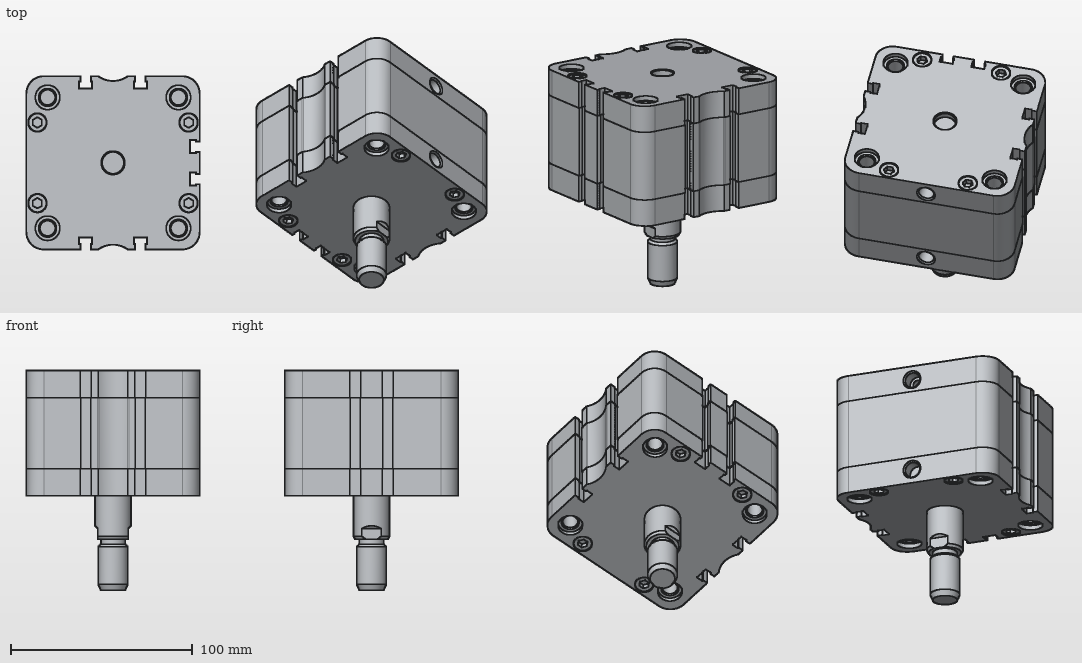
import cadquery as cq
import math


side = 95.5
half_side = side / 2
corner_radius = 9.7
cover_height = 15.0
barrel_height = 39.0
housing_height = 2 * cover_height + barrel_height

slot_mouth_width = 5.5
slot_inner_width = 6.9
slot_lip_depth_y_sides = 3.2
slot_depth_y_sides = 6.6
slot_lip_depth_x_side = 2.1
slot_depth_x_side = 5.3
slot_offset_y_sides = 15.1
slot_offset_x_side = 8.9
cover_slot_clearance = 0.25

groove_half_width = 8.2
groove_depth = 2.65
groove_edge_radius = 1.4

mount_offset = 36.0
mount_bore_diameter = 8.38
mount_chamfer_diameter = 9.8
mount_counterbore_diameter = 13.5
mount_counterbore_depth = 2.6

screw_x = 41.6
screw_y = 22.2
screw_recess_diameter = 10.3
screw_head_diameter = 9.8
screw_head_drop = 0.5
hex_across_flats = 5.0
hex_depth = 3.5

centre_bore_diameter = 12.0
centre_chamfer = 0.5
centre_bore_depth = 3.5

port_distance_from_end = 8.0
port_diameter = 8.57
port_chamfer_diameter = 10.3
port_depth = 8.0
port_passage_diameter = 5.0
port_passage_depth = 12.0

rod_diameter = 20.0
rod_shoulder_length = 24.0
rod_chamfer_width = 1.0
rod_chamfer_length = 1.7
flat_width = 17.0
flat_length = 6.0
thread_diameter = 16.4
relief_diameter = 13.5
relief_length = 2.6
rod_length = 52.0
tip_diameter = 13.6
tip_taper_length = 3.3


def t_slot_cutter(lip_depth, slot_depth, clearance):
    """T-slot open at X = 0 and running into -X, as tall as the housing."""
    mouth = slot_mouth_width + 2 * clearance
    inner = slot_inner_width + 2 * clearance
    lip = lip_depth - clearance
    depth = slot_depth + clearance
    neck = cq.Workplane("XY").box(2 * depth, mouth, housing_height, centered=(True, True, False))
    chamber = (
        cq.Workplane("XY")
        .box(depth - lip, inner, housing_height, centered=(False, True, False))
        .translate((-depth, 0, 0))
    )
    return neck.union(chamber)


def side_groove_cutter():
    """Upright cylinder whose edge dips into the +Y side by the groove depth."""
    radius = (groove_half_width**2 + groove_depth**2) / (2 * groove_depth)
    centre_y = half_side - groove_depth + radius
    return cq.Workplane("XY").center(0, centre_y).circle(radius).extrude(housing_height)


def housing_profile(height, slot_clearance):
    """Square prism with rounded corners, T-slots on three sides and the two side grooves."""
    body = cq.Workplane("XY").rect(side, side).extrude(height).edges("|Z").fillet(corner_radius)
    x_slot = t_slot_cutter(slot_lip_depth_x_side, slot_depth_x_side, slot_clearance)
    y_slot = t_slot_cutter(slot_lip_depth_y_sides, slot_depth_y_sides, slot_clearance)
    for sign in (1, -1):
        body = body.cut(x_slot.translate((half_side, sign * slot_offset_x_side, 0)))
        for face_angle in (90, -90):
            placed = y_slot.translate((half_side, sign * slot_offset_y_sides, 0))
            body = body.cut(placed.rotate((0, 0, 0), (0, 0, 1), face_angle))
    groove = side_groove_cutter()
    return body.cut(groove).cut(groove.mirror("XZ"))


def cone(bottom_diameter, top_diameter, height):
    """Truncated cone standing on Z = 0."""
    return (
        cq.Workplane("XY")
        .circle(bottom_diameter / 2)
        .workplane(offset=height)
        .circle(top_diameter / 2)
        .loft()
    )


def mount_hole_cutter():
    """Counterbored, chamfered hole through the cover."""
    floor_z = cover_height - mount_counterbore_depth
    chamfer = (mount_chamfer_diameter - mount_bore_diameter) / 2
    bore = cq.Workplane("XY").circle(mount_bore_diameter / 2).extrude(cover_height)
    counterbore = (
        cq.Workplane("XY")
        .workplane(offset=floor_z)
        .circle(mount_counterbore_diameter / 2)
        .extrude(mount_counterbore_depth)
    )
    countersink = cone(mount_bore_diameter, mount_chamfer_diameter, chamfer)
    return bore.union(counterbore).union(countersink.translate((0, 0, floor_z - chamfer)))


def screw_cutter():
    """Recess above a sunk screw head with a chamfered rim and a hexagon socket."""
    rim_chamfer = (screw_recess_diameter - screw_head_diameter) / 2
    recess_depth = screw_head_drop + rim_chamfer
    recess = cq.Workplane("XY").circle(screw_recess_diameter / 2).extrude(-recess_depth)
    head = cone(screw_recess_diameter, screw_head_diameter, rim_chamfer).translate((0, 0, -recess_depth))
    hex_corner_diameter = hex_across_flats / math.cos(math.pi / 6)
    socket = (
        cq.Workplane("XY")
        .polygon(6, hex_corner_diameter)
        .extrude(-hex_depth)
        .rotate((0, 0, 0), (0, 0, 1), 90)
    )
    return recess.cut(head).union(socket).translate((0, 0, cover_height))


def port_cutter():
    """Chamfered blind port entering from the -X side."""
    chamfer = (port_chamfer_diameter - port_diameter) / 2
    bore = cq.Workplane("XY").circle(port_diameter / 2).extrude(-port_depth)
    countersink = cone(port_diameter, port_chamfer_diameter, chamfer).translate((0, 0, -chamfer))
    return place_in_port(bore.union(countersink))


def port_passage_cutter():
    """Narrow air passage leading on from the port floor."""
    passage_end = port_depth + port_passage_depth
    return place_in_port(cq.Workplane("XY").circle(port_passage_diameter / 2).extrude(-passage_end))


def place_in_port(cutter):
    """Turn a cutter that runs down from Z = 0 so that it enters the -X side at port height."""
    port_z = cover_height - port_distance_from_end
    return cutter.rotate((0, 0, 0), (0, 1, 0), -90).translate((-half_side, 0, port_z))


def make_cover():
    """Features shared by both covers; the outer end face is at Z = cover_height."""
    cover = housing_profile(cover_height, cover_slot_clearance).cut(port_cutter())
    mount_hole = mount_hole_cutter()
    screw = screw_cutter()
    for sign_x in (1, -1):
        for sign_y in (1, -1):
            cover = cover.cut(mount_hole.translate((sign_x * mount_offset, sign_y * mount_offset, 0)))
            cover = cover.cut(screw.translate((sign_x * screw_x, sign_y * screw_y, 0)))
    return cover


def make_upper_cover():
    """Cover with the centring bore and the stepped port."""
    bore = cq.Workplane("XY").circle(centre_bore_diameter / 2).extrude(-centre_bore_depth)
    chamfer_diameter = centre_bore_diameter + 2 * centre_chamfer
    countersink = cone(centre_bore_diameter, chamfer_diameter, centre_chamfer)
    centring = bore.union(countersink.translate((0, 0, -centre_chamfer))).translate((0, 0, cover_height))
    cover = make_cover().cut(centring).cut(port_passage_cutter())
    return cover.translate((0, 0, cover_height + barrel_height))


def make_lower_cover():
    """Cover turned end face down, with the through bore for the rod."""
    cover = make_cover().mirror("XY").translate((0, 0, cover_height))
    return cover.cut(cq.Workplane("XY").circle(rod_diameter / 2).extrude(cover_height))


def make_barrel():
    """Profiled barrel with rounded groove edges."""
    barrel = housing_profile(barrel_height, 0)
    zone_half_width = groove_half_width + groove_edge_radius
    groove_zone = cq.selectors.BoxSelector(
        (-zone_half_width, -side, 0),
        (zone_half_width, side, barrel_height),
    )
    barrel = barrel.edges("|Z").edges(groove_zone).fillet(groove_edge_radius)
    return barrel.translate((0, 0, cover_height))


def make_piston_rod():
    """Stepped rod with wrench flats, thread relief and tapered tip."""
    rod_r = rod_diameter / 2
    thread_r = thread_diameter / 2
    relief_r = relief_diameter / 2
    relief_end = rod_shoulder_length + relief_length
    thread_start = relief_end + thread_r - relief_r
    outline = [
        (0, cover_height),
        (rod_r, cover_height),
        (rod_r, rod_chamfer_length - rod_shoulder_length),
        (rod_r - rod_chamfer_width, -rod_shoulder_length),
        (relief_r, -rod_shoulder_length),
        (relief_r, -relief_end),
        (thread_r, -thread_start),
        (thread_r, tip_taper_length - rod_length),
        (tip_diameter / 2, -rod_length),
        (0, -rod_length),
    ]
    rod = cq.Workplane("XZ").polyline(outline).close().revolve(360, (0, 0, 0), (0, 1, 0))

    flat_x = flat_width / 2
    flat_top = flat_length - rod_shoulder_length
    flat_cutter = (
        cq.Workplane("XZ")
        .polyline(
            [
                (flat_x, -rod_shoulder_length),
                (flat_x, flat_top),
                (rod_r, flat_top + rod_r - flat_x),
                (rod_r, -rod_shoulder_length),
            ]
        )
        .close()
        .extrude(rod_r, both=True)
    )
    return rod.cut(flat_cutter).cut(flat_cutter.mirror("YZ"))


upper_cover = make_upper_cover()
barrel = make_barrel()
lower_cover = make_lower_cover()
piston_rod = make_piston_rod()

result = cq.Compound.makeCompound([upper_cover.val(), barrel.val(), lower_cover.val(), piston_rod.val()])